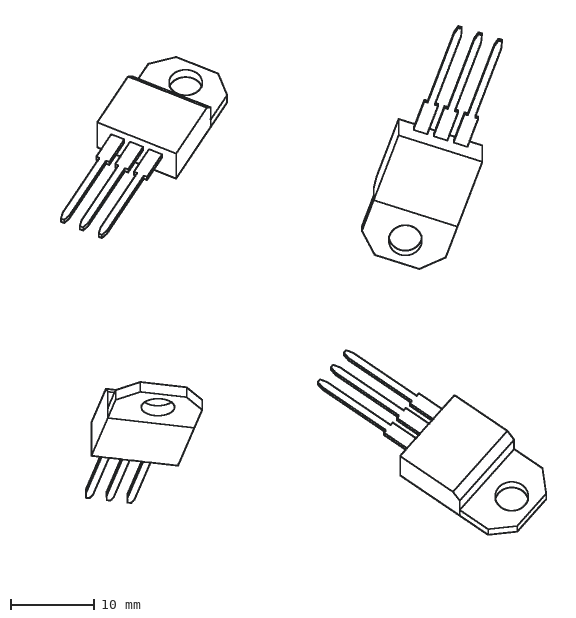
import cadquery as cq

WIDTH = 10.65
TOTAL_LENGTH = 30.37
HEIGHT = 4.7

TAB_LENGTH = 6.8
TAB_THICKNESS = 1.4
TAB_CORNER_CHAMFER = 2.5
TAB_HOLE_DIAMETER = 3.98
TAB_HOLE_FROM_END = 3.05

HOUSING_LENGTH = 9.08
HOUSING_CHAMFER = 1.03

LEAD_COUNT = 3
LEAD_PITCH = 2.55
LEAD_THICKNESS = 0.6
LEAD_BOTTOM_Z = 2.92
LEAD_LENGTH = TOTAL_LENGTH - TAB_LENGTH - HOUSING_LENGTH
SHOULDER_WIDTH = 1.75
SHOULDER_LENGTH = 3.95
SHANK_WIDTH = 0.9
TIP_WIDTH = 0.45
TIP_LENGTH = 0.9

HOUSING_BACK_Y = HOUSING_LENGTH
TAB_END_Y = HOUSING_BACK_Y + TAB_LENGTH


def make_tab():
    """Flat plate with two cut corners and a mounting hole."""
    plate = cq.Workplane("XY").box(WIDTH, TAB_LENGTH, TAB_THICKNESS, centered=(True, False, False))
    plate = plate.translate((0, HOUSING_BACK_Y, 0))
    plate = plate.edges("|Z and >Y").chamfer(TAB_CORNER_CHAMFER)
    hole = (
        cq.Workplane("XY")
        .center(0, TAB_END_Y - TAB_HOLE_FROM_END)
        .circle(TAB_HOLE_DIAMETER / 2)
        .extrude(TAB_THICKNESS)
    )
    return plate.cut(hole)


def make_lead(center_x):
    """Flat lead with a wide shoulder, a narrow shank and a tapered tip, pointing to -Y."""
    half_outline = [
        (SHOULDER_WIDTH / 2, 0),
        (SHOULDER_WIDTH / 2, -SHOULDER_LENGTH),
        (SHANK_WIDTH / 2, -SHOULDER_LENGTH),
        (SHANK_WIDTH / 2, TIP_LENGTH - LEAD_LENGTH),
        (TIP_WIDTH / 2, -LEAD_LENGTH),
    ]
    mirrored_outline = [(-x, y) for x, y in reversed(half_outline)]
    return (
        cq.Workplane("XY", origin=(center_x, 0, LEAD_BOTTOM_Z))
        .polyline(half_outline + mirrored_outline)
        .close()
        .extrude(LEAD_THICKNESS)
    )


def make_housing():
    """Block with a chamfered top back edge and a row of leads on its front face."""
    housing = cq.Workplane("XY").box(WIDTH, HOUSING_LENGTH, HEIGHT, centered=(True, False, False))
    housing = housing.edges(">Y and >Z").chamfer(HOUSING_CHAMFER)
    for index in range(LEAD_COUNT):
        center_x = (index - (LEAD_COUNT - 1) / 2) * LEAD_PITCH
        housing = housing.union(make_lead(center_x))
    return housing


tab = make_tab()
housing = make_housing()

result = cq.Compound.makeCompound([tab.val(), housing.val()])